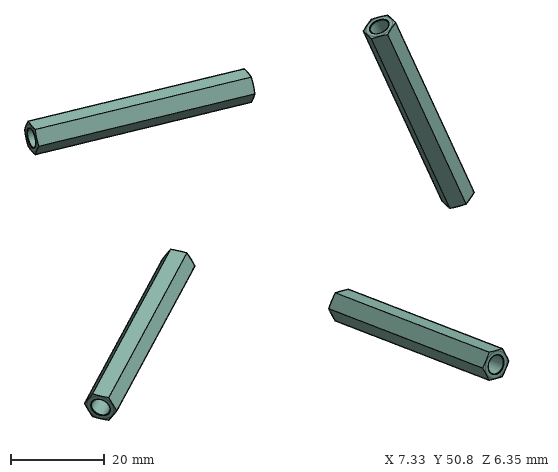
import cadquery as cq
import math

length = 50.8
across_flats = 6.35
across_corners = across_flats / math.cos(math.pi / 6)

end_face_diameter = 6.03
corner_chamfer_angle = 11

hole_diameter = 4.19
hole_depth = 12.7
mouth_diameter = 4.45
mouth_depth = (mouth_diameter - hole_diameter) / 2


def hexagonal_bar():
    """Hexagonal bar with two flats facing +Z and -Z."""
    return cq.Workplane("XZ").polygon(6, across_corners).extrude(length / 2, both=True)


def chamfer_envelope():
    """Round body with coned ends that the hexagonal bar is trimmed to."""
    end_radius = end_face_diameter / 2
    corner_radius = across_corners / 2
    chamfer_height = (corner_radius - end_radius) * math.tan(math.radians(corner_chamfer_angle))
    half_length = length / 2
    shoulder = half_length - chamfer_height
    profile = [
        (0, -half_length),
        (end_radius, -half_length),
        (corner_radius, -shoulder),
        (corner_radius, shoulder),
        (end_radius, half_length),
        (0, half_length),
    ]
    return cq.Workplane("XY").polyline(profile).close().revolve(360, (0, 0, 0), (0, 1, 0))


def end_hole():
    """Cutter for the countersunk blind hole in the -Y end."""
    end = -length / 2
    hole_radius = hole_diameter / 2
    profile = [
        (0, end),
        (mouth_diameter / 2, end),
        (hole_radius, end + mouth_depth),
        (hole_radius, end + hole_depth),
        (0, end + hole_depth),
    ]
    return cq.Workplane("XY").polyline(profile).close().revolve(360, (0, 0, 0), (0, 1, 0))


near_hole = end_hole()
far_hole = near_hole.mirror("XZ")
result = hexagonal_bar().intersect(chamfer_envelope()).cut(near_hole).cut(far_hole)